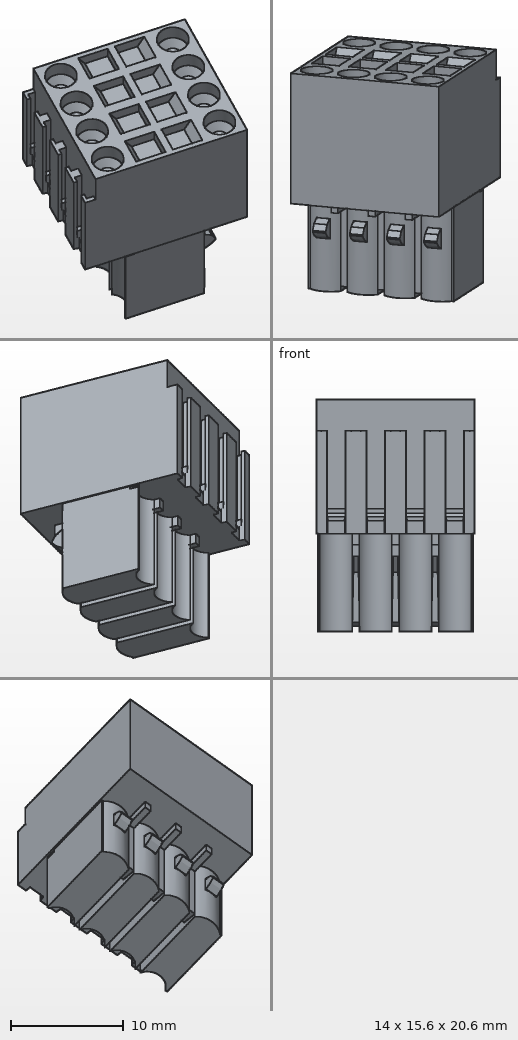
import cadquery as cq


pole_count = 4
housing_width = 14.0
pole_pitch = housing_width / pole_count
total_height = 20.55
housing_bottom = 8.68
housing_depth = 14.6
pole_centers = [(i - (pole_count - 1) / 2) * pole_pitch for i in range(pole_count)]
gap_centers = [x + pole_pitch / 2 for x in pole_centers[:-1]]

funnel_diameter = 2.84
funnel_throat_diameter = 1.52
funnel_straight_depth = 1.44
funnel_cone_depth = 0.65
funnel_edge_distance = 1.91
pocket_width = 2.57
pocket_length = 13.8
pocket_depth = 1.03
pocket_slope_length = 3.2
pocket_edge_distance = 4.11

rail_depth = 1.0
rail_top = 17.78
cap_thickness = 0.33
channel_width = 2.67
mouth_front_width = 1.67
mouth_back_width = 1.52
stop_top = 10.9
stop_front = 0.51
stop_lip_top = 9.83
stop_back_skin = 0.06
stop_notch_top_width = 1.8
stop_notch_bottom_width = 1.44
ramp_top = 10.5
ramp_bottom = 10.15
ramp_front = 0.3

column_width = 2.88
column_front = 2.95
column_side_back = 10.5
column_back = 11.06
groove_depth = 0.86
end_wall = 0.19
end_notch_height = 0.23
end_notch_depth = 0.06

gap_width = pole_pitch - column_width
spacer_front = 2.36
spacer_back = 12.83
spacer_bottom = 7.7
web_front = 9.05
web_bottom = 0.47
web_chamfer = 0.35
recess_top_width = 0.37
recess_top = 6.66
recess_ramp_bottom = 5.26
recess_depth = 1.03

hook_width = 1.23
hook_points = [
    (column_back, 6.68),
    (11.7, 6.3),
    (12.05, 5.74),
    (12.05, 5.6),
    (11.7, 5.22),
    (column_back, 4.85),
]


def box(x_center, width, y_from, y_to, z_from, z_to):
    """Box centred on x_center in X and spanning the given Y and Z ranges."""
    corner = (x_center - width / 2, y_from, z_from)
    return cq.Workplane("XY").box(width, y_to - y_from, z_to - z_from, centered=False).translate(corner)


def side_prism(x_center, width, points):
    """Prism with a (y, z) profile, centred on x_center in X."""
    start = x_center - width / 2
    return cq.Workplane("YZ", origin=(start, 0, 0)).polyline(points).close().extrude(width)


def taper(x_center, top_width, bottom_width, z_top, z_bottom, y_from, y_to):
    """Prism along Y whose width changes evenly from top to bottom."""
    points = [
        (x_center - top_width / 2, z_top),
        (x_center + top_width / 2, z_top),
        (x_center + bottom_width / 2, z_bottom),
        (x_center - bottom_width / 2, z_bottom),
    ]
    return cq.Workplane("XZ", origin=(0, y_from, 0)).polyline(points).close().extrude(y_from - y_to)


def funnel(x, y):
    """Straight bore that ends in a cone down to a flat throat."""
    cone_top = total_height - funnel_straight_depth
    cone_bottom = cone_top - funnel_cone_depth
    profile = [
        (0, total_height),
        (funnel_diameter / 2, total_height),
        (funnel_diameter / 2, cone_top),
        (funnel_throat_diameter / 2, cone_bottom),
        (0, cone_bottom),
    ]
    bore = cq.Workplane("XZ").polyline(profile).close().revolve(360, (0, 0, 0), (0, 1, 0))
    return bore.translate((x, y, 0))


def pocket(x, outer_y, inward):
    """Square pocket whose outer wall slopes; inward is the Y direction (+1 or -1) of its inner wall."""
    floor = total_height - pocket_depth
    inner_y = outer_y + inward * pocket_length
    slope_foot = outer_y + inward * pocket_slope_length
    profile = [(outer_y, total_height), (slope_foot, floor), (inner_y, floor), (inner_y, total_height)]
    return side_prism(x, pocket_width, profile)


def channel(x):
    """T-shaped channel between two rails, leaving the stop block at its foot."""
    cap_back = cap_thickness - rail_depth
    mouth_points = [
        (x - mouth_front_width / 2, -rail_depth),
        (x + mouth_front_width / 2, -rail_depth),
        (x + mouth_back_width / 2, -stop_front),
        (x - mouth_back_width / 2, -stop_front),
    ]
    mouth = cq.Workplane("XY", origin=(0, 0, housing_bottom)).polyline(mouth_points).close()
    mouth = mouth.extrude(rail_top - housing_bottom)
    wide = box(x, channel_width, cap_back, 0, stop_top, rail_top)
    notch_points = [
        (-stop_back_skin, stop_top),
        (-stop_back_skin, ramp_top),
        (-ramp_front, ramp_bottom),
        (-ramp_front, stop_lip_top),
        (cap_back, stop_lip_top),
        (cap_back, stop_top),
    ]
    notch_sides = taper(
        x, stop_notch_top_width, stop_notch_bottom_width, stop_top, stop_lip_top, cap_back, -stop_back_skin
    )
    notch = side_prism(x, stop_notch_top_width, notch_points).intersect(notch_sides)
    return mouth.union(wide).union(notch)


def column(x):
    """Plug column with a concave front and a convex back."""
    half = column_width / 2
    outline = (
        cq.Workplane("XY")
        .moveTo(x - half, column_front)
        .threePointArc((x, column_front + groove_depth), (x + half, column_front))
        .lineTo(x + half, column_side_back)
        .threePointArc((x, column_back), (x - half, column_side_back))
        .close()
    )
    return outline.extrude(housing_bottom)


def end_plate(side):
    """Thin wall on the outer flank of an end column, with a shallow notch under the housing."""
    x = side * (pole_centers[-1] + (column_width + end_wall) / 2)
    outer_x = x + side * end_wall / 2
    plate = box(x, end_wall, column_front, column_side_back, 0, housing_bottom)
    notch_bottom = housing_bottom - end_notch_height
    notch_back = column_front + groove_depth
    notch = box(outer_x, 2 * end_notch_depth, column_front, notch_back, notch_bottom, housing_bottom)
    return plate.cut(notch)


def gap_filling(x):
    """Spacer rib and recessed web that fill one gap between columns."""
    spacer = box(x, gap_width, spacer_front, spacer_back, spacer_bottom, housing_bottom)
    web_points = [
        (web_front, housing_bottom),
        (web_front, web_bottom + web_chamfer),
        (column_side_back, web_bottom),
        (column_side_back, housing_bottom),
    ]
    web = side_prism(x, gap_width, web_points)
    recess_bottom = web_bottom + web_chamfer
    recess_floor = web_front + recess_depth
    recess_points = [
        (web_front, recess_top),
        (recess_floor, recess_ramp_bottom),
        (recess_floor, recess_bottom),
        (web_front, recess_bottom),
    ]
    widening = taper(x, recess_top_width, gap_width, recess_top, recess_bottom, web_front, recess_floor)
    recess = side_prism(x, gap_width, recess_points).intersect(widening)
    return spacer.union(web).cut(recess)


def hook(x):
    """Latch hook on the convex back of a column."""
    hook_root = [(column_side_back, hook_points[-1][1]), (column_side_back, hook_points[0][1])]
    return side_prism(x, hook_width, hook_points + hook_root)


result = box(0, housing_width, 0, housing_depth, housing_bottom, total_height)
result = result.union(box(0, housing_width, -rail_depth, 0, housing_bottom, rail_top))
for x in pole_centers:
    result = result.cut(channel(x))

for x in pole_centers:
    result = result.cut(funnel(x, funnel_edge_distance))
    result = result.cut(funnel(x, housing_depth - funnel_edge_distance))
    result = result.cut(pocket(x, pocket_edge_distance, 0.2))
    result = result.cut(pocket(x, housing_depth - pocket_edge_distance, -0.2))

for x in pole_centers:
    result = result.union(column(x)).union(hook(x))
for side in (-1, 1):
    result = result.union(end_plate(side))
for x in gap_centers:
    result = result.union(gap_filling(x))